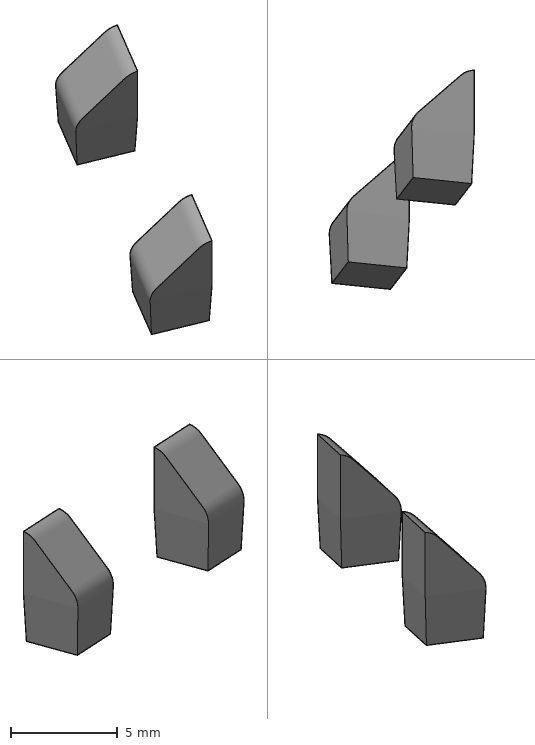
import cadquery as cq
import math

overall_length = 14.27
block_size = 3.05
overall_height = 5.7

foot_height = 2.5
foot_inset = 0.1

ramp_angle = math.radians(45)
nose_radius = 1.14
tip_depth = 0.65

front_y = -block_size / 2
back_y = block_size / 2
block_offset = (overall_length - block_size) / 2


def make_foot():
    """Square foot that narrows evenly toward the bottom."""
    bottom_size = block_size - 2 * foot_inset
    return (
        cq.Workplane("XY")
        .rect(bottom_size, bottom_size)
        .workplane(offset=foot_height)
        .rect(block_size, block_size)
        .loft(ruled=True)
    )


def nose_point(angle):
    """Point on the nose arc, with the angle measured up from its front corner."""
    return (
        front_y + nose_radius * (1 - math.cos(angle)),
        foot_height + nose_radius * math.sin(angle),
    )


def make_head():
    """Wedge rising toward the back, its ramp tangent to the rounded nose and tip."""
    nose_sweep = math.pi / 2 - ramp_angle
    ramp_bottom = nose_point(nose_sweep)
    ramp_run = back_y - tip_depth - ramp_bottom[0]
    ramp_top = (ramp_bottom[0] + ramp_run, ramp_bottom[1] + ramp_run * math.tan(ramp_angle))
    return (
        cq.Workplane("YZ")
        .moveTo(front_y, foot_height)
        .threePointArc(nose_point(nose_sweep / 2), ramp_bottom)
        .lineTo(*ramp_top)
        .tangentArcPoint((back_y, overall_height), relative=False)
        .lineTo(back_y, foot_height)
        .close()
        .extrude(block_size / 2, both=True)
    )


def make_block(center_x):
    """One wedge block: head and foot as a single solid."""
    return make_foot().union(make_head()).translate((center_x, 0, 0))


blocks = [make_block(side * block_offset) for side in (-1, 1)]

result = cq.Compound.makeCompound([block.val() for block in blocks])